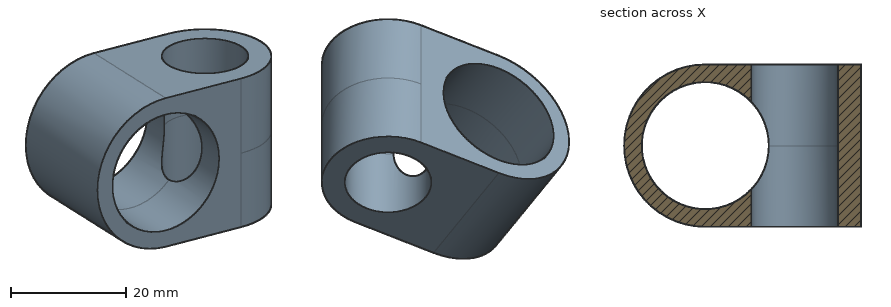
import cadquery as cq

length = 41.1
width = 23.0
height = 28.2
cross_bore_dia = 22.0
upright_bore_dia = 15.0

front_radius = height / 2
back_radius = width / 2
bore_spacing = length - front_radius - back_radius


def cylinder_along_x(diameter):
    """Cylinder on the cross-bore axis, as long as the part is wide."""
    return cq.Workplane("YZ").circle(diameter / 2).extrude(width / 2, both=True)


def cylinder_along_z(diameter):
    """Cylinder on the upright-bore axis, as long as the part is high."""
    return (
        cq.Workplane("XY")
        .center(0, bore_spacing)
        .circle(diameter / 2)
        .extrude(height / 2, both=True)
    )


block = cq.Workplane("XY").box(width, bore_spacing, height).translate((0, bore_spacing / 2, 0))
body = block.union(cylinder_along_x(height)).union(cylinder_along_z(width))

result = body.cut(cylinder_along_x(cross_bore_dia)).cut(cylinder_along_z(upright_bore_dia))